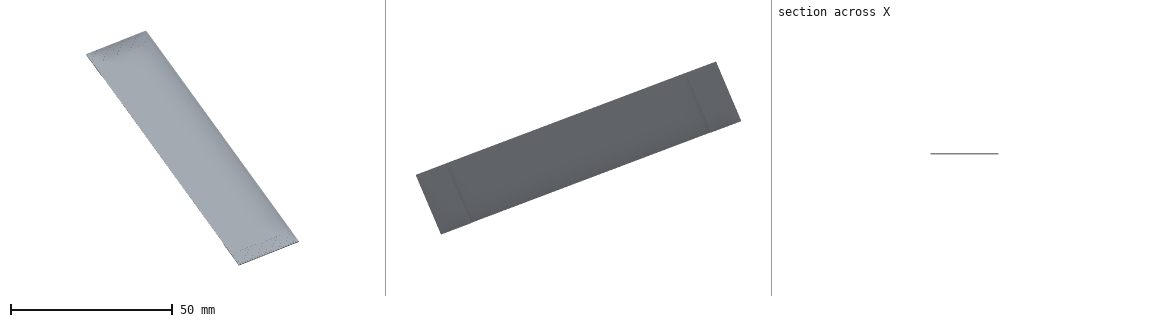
import cadquery as cq

length = 100.0
width = 21.0
thickness = 0.36

conductor_count = 20
conductor_pitch = 1.0
conductor_width = 0.7
conductor_thickness = 0.02

film_thickness = 0.03
exposed_length = 5.0

stiffener_length = 10.0
stiffener_overhang = 0.42
stiffener_thickness = thickness - 2 * film_thickness - conductor_thickness

part_start = -length / 2
cable_length = length - stiffener_overhang
cover_start = part_start + exposed_length
cover_length = length - 2 * exposed_length
conductor_bottom = stiffener_thickness + film_thickness
cover_bottom = conductor_bottom + conductor_thickness


def strip(start_x, strip_length, center_y, strip_width, bottom_z, strip_thickness):
    """Flat strip running along +X from start_x, centred on center_y, resting on bottom_z."""
    return (
        cq.Workplane("XY")
        .box(strip_length, strip_width, strip_thickness, centered=(False, True, False))
        .translate((start_x, center_y, bottom_z))
    )


def conductor(index):
    """One conductor running the whole length of the cable."""
    center_y = (index - (conductor_count - 1) / 2) * conductor_pitch
    return strip(
        part_start, cable_length, center_y, conductor_width, conductor_bottom, conductor_thickness
    )


def stiffener(start_x):
    """Full-width backing plate under one end of the cable."""
    return strip(start_x, stiffener_length, 0, width, 0, stiffener_thickness)


base_film = strip(part_start, cable_length, 0, width, stiffener_thickness, film_thickness)
cover_film = strip(cover_start, cover_length, 0, width, cover_bottom, film_thickness)

result = base_film
for conductor_index in range(conductor_count):
    result = result.union(conductor(conductor_index))
result = result.union(cover_film)
result = result.union(stiffener(part_start))
result = result.union(stiffener(length / 2 - stiffener_length))